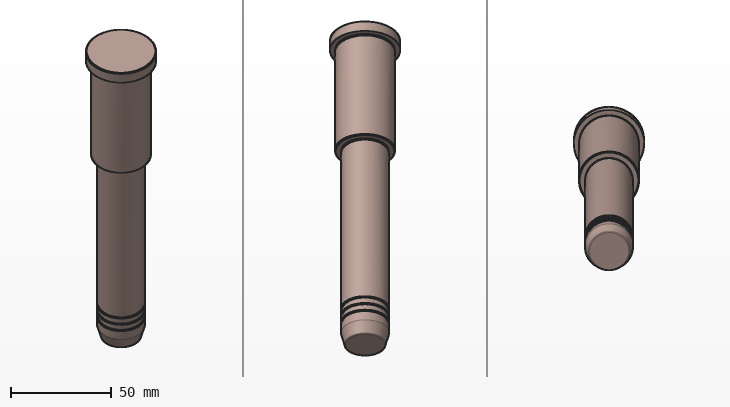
import cadquery as cq
import math

total_length = 181.0
head_diameter = 35.0
body_diameter = 30.0
pin_diameter = 24.0

head_thickness = 6.0
body_length = 60.0
taper_length = 7.0
taper_angle = 15.0

head_chamfer = 0.5
body_chamfer = 0.5
tip_fillet = 0.5

relief_width = 1.0
relief_depth = 0.2

groove_count = 3
groove_pitch = 4.0
groove_width = 1.0
groove_depth = 0.5
first_groove_height = 12.5

head_radius = head_diameter / 2
body_radius = body_diameter / 2
pin_radius = pin_diameter / 2
taper_slope = math.tan(math.radians(taper_angle))
tip_radius = pin_radius - taper_length * taper_slope
head_bottom = total_length - head_thickness
body_bottom = head_bottom - body_length


def make_shaft():
    """Revolve the stepped half section, with its tapered tip, about Z and round the tip edge."""
    half_section = (
        cq.Workplane("XZ")
        .lineTo(tip_radius, 0)
        .lineTo(pin_radius, taper_length)
        .lineTo(pin_radius, body_bottom)
        .lineTo(body_radius - body_chamfer, body_bottom)
        .lineTo(body_radius, body_bottom + body_chamfer)
        .lineTo(body_radius, head_bottom)
        .lineTo(head_radius, head_bottom)
        .lineTo(head_radius, total_length - head_chamfer)
        .lineTo(head_radius - head_chamfer, total_length)
        .lineTo(0, total_length)
        .close()
    )
    shaft = half_section.revolve(360, (0, 0, 0), (0, 1, 0))
    return shaft.faces("<Z").edges().fillet(tip_fillet)


def make_relief(shaft_radius, shoulder_height):
    """Ring that cuts a shallow relief into the shaft just below a shoulder."""
    return (
        cq.Workplane("XY")
        .workplane(offset=shoulder_height - relief_width)
        .circle(shaft_radius)
        .circle(shaft_radius - relief_depth)
        .extrude(relief_width)
    )


def make_groove(height):
    """Ring that cuts one V groove around the pin at the given height."""
    section = (
        cq.Workplane("XZ")
        .moveTo(pin_radius, height - groove_width / 2)
        .lineTo(pin_radius - groove_depth, height)
        .lineTo(pin_radius, height + groove_width / 2)
        .close()
    )
    return section.revolve(360, (0, 0, 0), (0, 1, 0))


result = make_shaft()
result = result.cut(make_relief(body_radius, head_bottom))
result = result.cut(make_relief(pin_radius, body_bottom))
for index in range(groove_count):
    result = result.cut(make_groove(first_groove_height + index * groove_pitch))